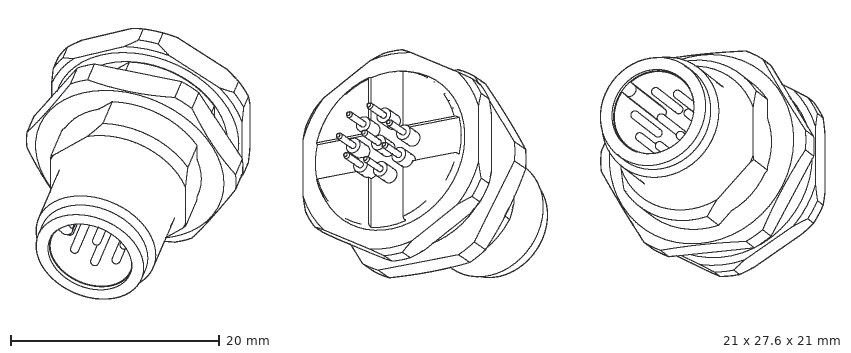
import cadquery as cq
import math

LENGTH = 27.6

NOSE_RADIUS = 10.8 / 2
NOSE_END = 1.4
BARREL_RADIUS = 12.0 / 2
BARREL_START = 2.05
BODY_START = 9.52
BARREL_FILLET = 0.5

BODY_RADIUS = 16.0 / 2
BODY_CHAMFER = 0.83
THREAD_ROOT_RADIUS = BODY_RADIUS - BODY_CHAMFER
FLAT_DISTANCE = 6.75
FLAT_ANGLES = (0, 180, 135, -45)

HEX_ACROSS_FLATS = 19.1
HEX_CORNER_RADIUS = 21.0 / 2

NUT_START = 13.52
NUT_END = 16.35
NUT_CHAMFER_HEIGHT = 0.5
NUT_FACE_RADIUS = 9.45

FLANGE_START = 19.32
FLANGE_END = 22.0
FLANGE_CHAMFER = 0.52

SEAL_RADIUS = 8.65
SEAL_SECTION_RADIUS = 0.7
SEAL_PROTRUSION = 0.3

RIM_BASE_RADIUS = 8.05
RIM_END_RADIUS = 7.8
RIM_END = 23.0
RIM_FILLET = 0.2
RIM_SLOT_DEPTH = 0.5
RIM_SLOT_WIDTH = 3.75

MOUTH_RADIUS = 8.4 / 2
MOUTH_DEPTH = 0.45
BORE_RADIUS = 4.1
BORE_DEPTH = 8.83
BORE_FLOOR_FILLET = 0.3

KEY_ANGLE = 135
KEY_WIDTH = 1.27
KEY_TIP_RADIUS = 2.95
KEY_TIP_BULGE = 0.35
KEY_START = MOUTH_DEPTH

CONTACT_CIRCLE_RADIUS = 2.75
CONTACT_COUNT = 7
CONTACT_PITCH = 49
PIN_RADIUS = 0.8 / 2
PIN_START = 1.93
BOSS_RADIUS = 1.5 / 2
BOSS_END = 24.5
TAIL_RADIUS = 0.6 / 2
TAIL_TIP_RADIUS = 0.2
TAIL_TIP_LENGTH = 0.28


def cylinder(radius, start, end):
    return cq.Workplane("XZ", origin=(0, start, 0)).circle(radius).extrude(start - end)


def revolve_profile(profile):
    """Revolve a closed radius/Y profile about the Y axis."""
    return profile.close().revolve(360, (0, 0, 0), (0, 1, 0))


def profile_from_points(points):
    return revolve_profile(cq.Workplane("XY").polyline(points))


def radial_block(angle, inner, outer, width, start, end):
    """Box reaching from inner to outer along the direction at angle in the XZ plane."""
    block = cq.Workplane("XY").box(outer - inner, end - start, width, centered=(False, False, True))
    return block.translate((inner, start, 0)).rotate((0, 0, 0), (0, 1, 0), -angle)


def hexagon(first_corner_angle, start, end):
    across_corners = HEX_ACROSS_FLATS / math.cos(math.pi / 6)
    prism = cq.Workplane("XZ", origin=(0, start, 0)).polygon(6, across_corners).extrude(start - end)
    return prism.rotate((0, 0, 0), (0, 1, 0), first_corner_angle)


def make_shell():
    """Nose, barrel and threaded body as one turned shape, with the flats cut off."""
    turned = revolve_profile(
        cq.Workplane("XY")
        .moveTo(0, 0)
        .lineTo(NOSE_RADIUS, 0)
        .lineTo(NOSE_RADIUS, NOSE_END)
        .lineTo(BARREL_RADIUS, BARREL_START)
        .lineTo(BARREL_RADIUS, BODY_START - BARREL_FILLET)
        .radiusArc((BARREL_RADIUS + BARREL_FILLET, BODY_START), BARREL_FILLET)
        .lineTo(THREAD_ROOT_RADIUS, BODY_START)
        .lineTo(BODY_RADIUS, BODY_START + BODY_CHAMFER)
        .lineTo(BODY_RADIUS, FLANGE_START)
        .lineTo(0, FLANGE_START)
    )
    for angle in FLAT_ANGLES:
        turned = turned.cut(
            radial_block(angle, FLAT_DISTANCE, 2 * BODY_RADIUS, 2 * BODY_RADIUS, BODY_START, FLANGE_START)
        )
    return turned


def make_nut():
    """Hexagonal panel nut, corners at +X and -X, chamfered on the mating side."""
    envelope = profile_from_points([
        (0, NUT_START),
        (NUT_FACE_RADIUS, NUT_START),
        (HEX_CORNER_RADIUS, NUT_START + NUT_CHAMFER_HEIGHT),
        (HEX_CORNER_RADIUS, NUT_END),
        (0, NUT_END),
    ])
    hole = cylinder(THREAD_ROOT_RADIUS, NUT_START, NUT_END)
    return hexagon(0, NUT_START, NUT_END).intersect(envelope).cut(hole)


def make_flange():
    """Hexagonal flange, corners at +Z and -Z, chamfered on both sides."""
    face_radius = HEX_CORNER_RADIUS - FLANGE_CHAMFER
    envelope = profile_from_points([
        (0, FLANGE_START),
        (face_radius, FLANGE_START),
        (HEX_CORNER_RADIUS, FLANGE_START + FLANGE_CHAMFER),
        (HEX_CORNER_RADIUS, FLANGE_END - FLANGE_CHAMFER),
        (face_radius, FLANGE_END),
        (0, FLANGE_END),
    ])
    return hexagon(30, FLANGE_START, FLANGE_END).intersect(envelope)


def make_seal():
    centre_y = FLANGE_START - SEAL_PROTRUSION + SEAL_SECTION_RADIUS
    section = cq.Workplane("XY").center(SEAL_RADIUS, centre_y).circle(SEAL_SECTION_RADIUS)
    return section.revolve(360, (-SEAL_RADIUS, 0, 0), (-SEAL_RADIUS, 1, 0))


def make_rim():
    """Slightly conical rear rim with a rounded edge and a cross of two tool slots."""
    rim = profile_from_points([
        (0, FLANGE_END),
        (RIM_BASE_RADIUS, FLANGE_END),
        (RIM_END_RADIUS, RIM_END),
        (0, RIM_END),
    ])
    rim = rim.faces(">Y").edges().fillet(RIM_FILLET)
    for angle in (0, 90):
        slot = radial_block(
            angle, -RIM_BASE_RADIUS, RIM_BASE_RADIUS, RIM_SLOT_WIDTH, RIM_END - RIM_SLOT_DEPTH, RIM_END
        )
        rim = rim.cut(slot)
    return rim


def make_bore():
    """Space of the mating bore, with a wider mouth and a rounded floor edge."""
    bore = cylinder(BORE_RADIUS, 0, BORE_DEPTH).faces(">Y").edges().fillet(BORE_FLOOR_FILLET)
    return bore.union(cylinder(MOUTH_RADIUS, 0, MOUTH_DEPTH))


def make_key():
    """Coding rib with a rounded inner edge, standing on the bore wall."""
    half_width = KEY_WIDTH / 2
    shoulder_radius = KEY_TIP_RADIUS + KEY_TIP_BULGE
    root_radius = (MOUTH_RADIUS + NOSE_RADIUS) / 2
    rib = (
        cq.Workplane("XZ", origin=(0, KEY_START, 0))
        .moveTo(root_radius, -half_width)
        .lineTo(shoulder_radius, -half_width)
        .threePointArc((KEY_TIP_RADIUS, 0), (shoulder_radius, half_width))
        .lineTo(root_radius, half_width)
        .close()
        .extrude(KEY_START - BORE_DEPTH)
    )
    return rib.rotate((0, 0, 0), (0, 1, 0), -KEY_ANGLE)


def make_contact():
    """Contact on the Y axis: domed pin, solder boss and thin tail with a tapered tip."""
    return revolve_profile(
        cq.Workplane("XY")
        .moveTo(0, PIN_START)
        .radiusArc((PIN_RADIUS, PIN_START + PIN_RADIUS), -PIN_RADIUS)
        .lineTo(PIN_RADIUS, FLANGE_START)
        .lineTo(BOSS_RADIUS, FLANGE_START)
        .lineTo(BOSS_RADIUS, BOSS_END)
        .lineTo(TAIL_RADIUS, BOSS_END)
        .lineTo(TAIL_RADIUS, LENGTH - TAIL_TIP_LENGTH)
        .lineTo(TAIL_TIP_RADIUS, LENGTH)
        .lineTo(0, LENGTH)
    )


def contact_positions():
    positions = [(0, 0)]
    first_angle = KEY_ANGLE - CONTACT_PITCH * (CONTACT_COUNT - 1) / 2 + 180
    for i in range(CONTACT_COUNT):
        angle = math.radians(first_angle + i * CONTACT_PITCH)
        positions.append((CONTACT_CIRCLE_RADIUS * math.cos(angle), CONTACT_CIRCLE_RADIUS * math.sin(angle)))
    return positions


result = make_shell().union(make_nut()).union(make_flange()).union(make_seal()).union(make_rim())
result = result.cut(make_bore()).union(make_key())
for x, z in contact_positions():
    result = result.union(make_contact().translate((x, 0, z)))